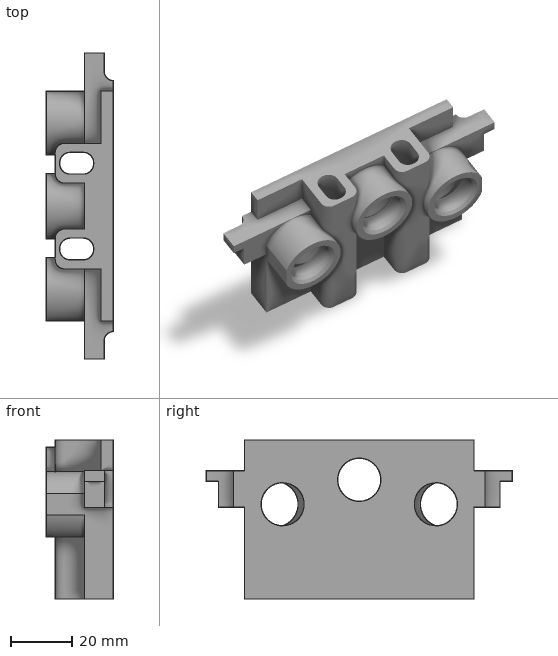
import cadquery as cq

depth = 22.0
height = 52.0
plate_front = 12.5
plate_half_width = 37.5

upper_wall_front = 18.0
ear_top = 42.0
ear_step = 38.5
ear_bottom = 30.0
ear_half_span = 50.0
ear_step_half_span = 46.0
ear_back = 19.0
ear_notch_radius = 3.0
ear_notch_center = 44.0

rail_front = 3.0
rail_center = 14.0
rail_width = 13.0
rail_edge_radius = 3.0
slot_front = 4.5
slot_length = 11.0
slot_width = 7.0
slot_corner_radius = 3.3

socket_radius = 10.7
bore_radius = 7.4
bore_depth = 7.0
mouth_chamfer = 0.9
passage_radius = 7.0
center_socket_z = 39.0
side_socket_y = 27.4
side_socket_z = 31.0
side_passage_y = 25.0


def block(x_range, y_range, z_range):
    """Box between the given limits along each axis."""
    sizes = [high - low for low, high in (x_range, y_range, z_range)]
    corner = (x_range[0], y_range[0], z_range[0])
    return cq.Workplane("XY").box(*sizes, centered=False).translate(corner)


def rod(x_start, x_end, y, z, radius):
    """Cylinder along X."""
    return cq.Workplane("YZ", origin=(x_start, y, z)).circle(radius).extrude(x_end - x_start)


def make_plate():
    plate = block((plate_front, depth), (-plate_half_width, plate_half_width), (0, height))
    recess_start = rail_center + rail_width / 2
    recess = block(
        (plate_front, upper_wall_front), (recess_start, plate_half_width), (ear_top, height)
    )
    return plate.cut(recess).cut(recess.mirror("XZ"))


def make_ear():
    """Stepped ear on the +Y side, thinned at the back with a concave round."""
    profile = (
        cq.Workplane("XY")
        .moveTo(plate_front, plate_half_width)
        .lineTo(depth, plate_half_width)
        .lineTo(depth, ear_notch_center - ear_notch_radius)
        .radiusArc((ear_back, ear_notch_center), ear_notch_radius)
        .lineTo(ear_back, ear_half_span)
        .lineTo(plate_front, ear_half_span)
        .close()
        .extrude(ear_top - ear_bottom)
        .translate((0, 0, ear_bottom))
    )
    step = block(
        (plate_front, depth), (ear_step_half_span, ear_half_span), (ear_bottom, ear_step)
    )
    return profile.cut(step)


def make_rail(y):
    rail = block((rail_front, plate_front), (y - rail_width / 2, y + rail_width / 2), (0, height))
    return rail.edges("|Z and <X").fillet(rail_edge_radius)


def make_rail_slot(y):
    slot = block(
        (slot_front, slot_front + slot_length), (y - slot_width / 2, y + slot_width / 2), (0, height)
    )
    return slot.edges("|Z").fillet(slot_corner_radius)


def make_socket(y, z):
    """Solid socket, trimmed flush with the sides of the plate."""
    limits = block((0, plate_front), (-plate_half_width, plate_half_width), (0, height))
    return rod(0, plate_front, y, z, socket_radius).intersect(limits)


def make_bore(y, z, passage_y):
    """Chamfered blind bore with a smaller passage on through the plate."""
    mouth = (
        cq.Workplane("YZ", origin=(0, y, z))
        .circle(bore_radius + mouth_chamfer)
        .workplane(offset=mouth_chamfer)
        .circle(bore_radius)
        .loft(ruled=True)
    )
    bore = rod(0, bore_depth, y, z, bore_radius)
    passage = rod(bore_depth, depth, passage_y, z, passage_radius)
    return bore.union(mouth).union(passage)


sockets = [
    (0, center_socket_z, 0),
    (side_socket_y, side_socket_z, side_passage_y),
    (-side_socket_y, side_socket_z, -side_passage_y),
]

ear = make_ear()
result = make_plate().union(ear).union(ear.mirror("XZ"))
for rail_y in (-rail_center, rail_center):
    result = result.union(make_rail(rail_y))
for socket_y, socket_z, _ in sockets:
    result = result.union(make_socket(socket_y, socket_z))

for rail_y in (-rail_center, rail_center):
    result = result.cut(make_rail_slot(rail_y))
for socket_y, socket_z, passage_y in sockets:
    result = result.cut(make_bore(socket_y, socket_z, passage_y))